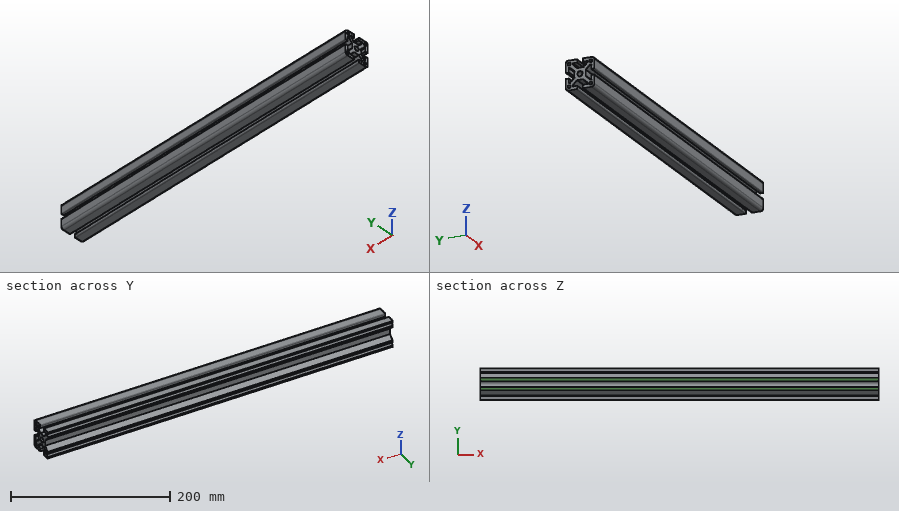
import cadquery as cq
import math

length = 500.0
side = 40.0
corner_radius = 4.0
slot_opening = 8.0
lip_thickness = 4.5
lip_radius = 0.75
slot_inner_width = 20.0
spoke_thickness = 5.5
core_width = 16.0
core_bore = 7.0
corner_bore = 4.0
corner_bore_spacing = 30.0

half_side = side / 2
half_opening = slot_opening / 2
half_inner = slot_inner_width / 2
half_core = core_width / 2
lip_inside = half_side - lip_thickness
spoke_offset = spoke_thickness / math.sqrt(2)


def t_slot(angle):
    """T-slot cutter on the +Z side, turned about X by the angle in degrees."""
    right_side = [
        (half_core - spoke_offset, half_core),
        (half_inner, half_inner + spoke_offset),
        (half_inner, lip_inside),
        (half_opening, lip_inside),
        (half_opening, half_side),
    ]
    left_side = [(-y, z) for y, z in reversed(right_side)]
    cutter = cq.Workplane("YZ").polyline(right_side + left_side).close().extrude(length)
    return cutter.rotate((0, 0, 0), (1, 0, 0), angle)


profile = cq.Workplane("YZ").rect(side, side).extrude(length)
profile = profile.edges("|X").fillet(corner_radius)

for angle in (0, 90, 180, 270):
    profile = profile.cut(t_slot(angle))

mouth_edges = cq.selectors.BoxSelector(
    (0, -half_opening - lip_radius, -half_side - lip_radius),
    (length, half_opening + lip_radius, half_side + lip_radius),
)
for angle in (0, 90):
    profile = profile.rotate((0, 0, 0), (1, 0, 0), angle)
    for face in (">Z", "<Z"):
        profile = profile.faces(face).edges("|X").edges(mouth_edges).fillet(lip_radius)

core_hole = cq.Workplane("YZ").circle(core_bore / 2).extrude(length)
corner_holes = (
    cq.Workplane("YZ")
    .rect(corner_bore_spacing, corner_bore_spacing, forConstruction=True)
    .vertices()
    .circle(corner_bore / 2)
    .extrude(length)
)
profile = profile.cut(core_hole).cut(corner_holes)

result = profile.translate((-length / 2, 0, 0))